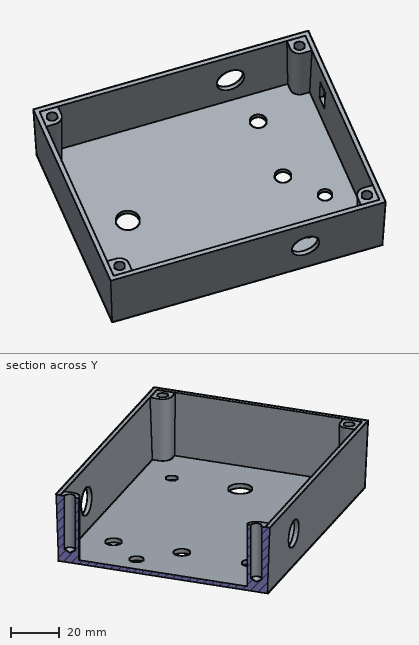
import cadquery as cq
import math

length_x = 94.0
length_y = 120.0
height = 30.0
wall = 2.0
floor_thickness = 2.0
draft_angle = 2.0

post_side = 8.0
post_radius = post_side / 2
post_recess = 0.1
pilot_diameter = 4.5
pilot_depth = 24.0
drill_point_angle = 118.0

column_pitch = 30.0
upper_row_y = 32.0
lower_row_y = -35.6
floor_holes = [
    (-column_pitch, upper_row_y, 7.0),
    (0, upper_row_y, 7.0),
    (column_pitch, upper_row_y, 7.0),
    (column_pitch / 2, 45.0, 6.0),
    (0, lower_row_y, 10.0),
    (column_pitch, lower_row_y, 5.0),
]

side_hole_diameter = 12.0
side_hole_y = 25.2
side_hole_z = height / 2
window_width = 6.0
window_height = 10.0
window_x = -23.0
window_z = 16.8

inner_x = length_x - 2 * wall
inner_y = length_y - 2 * wall
post_pitch_x = inner_x - post_side
post_pitch_y = inner_y - post_side


def drafted_block(size_x, size_y, depth):
    """Block with its full size at the rim, narrowing downward by the draft."""
    rim = cq.Workplane("XY").workplane(offset=height).rect(size_x, size_y)
    return rim.extrude(-depth, taper=draft_angle)


def corner_posts():
    """Upright posts, each rounded on the corner facing the box centre."""
    posts = cq.Workplane("XY")
    inward_edge = cq.selectors.NearestToPointSelector((0, 0, height / 2))
    for side_x in (-1, 1):
        for side_y in (-1, 1):
            post = (
                cq.Workplane("XY")
                .center(side_x * post_pitch_x / 2, side_y * post_pitch_y / 2)
                .rect(post_side, post_side)
                .extrude(height - post_recess)
            )
            posts = posts.add(post.edges("|Z").edges(inward_edge).fillet(post_radius))
    return posts.combine()


def pilot_holes():
    """Blind screw holes with conical ends, on the post axes."""
    radius = pilot_diameter / 2
    point_depth = radius / math.tan(math.radians(drill_point_angle / 2))
    profile = (
        cq.Workplane("XZ")
        .moveTo(0, height)
        .lineTo(radius, height)
        .lineTo(radius, height - pilot_depth)
        .lineTo(0, height - pilot_depth - point_depth)
        .close()
    )
    drill = profile.revolve(360, (0, 0, 0), (0, 1, 0)).val()
    centres = cq.Workplane("XY").rect(post_pitch_x, post_pitch_y, forConstruction=True).vertices()
    return centres.eachpoint(lambda place: drill.moved(place), combine=False)


outer = drafted_block(length_x, length_y, height)
cavity = drafted_block(inner_x, inner_y, height - floor_thickness)
box = outer.cut(cavity).union(corner_posts()).cut(pilot_holes())

for x, y, diameter in floor_holes:
    box = box.cut(cq.Workplane("XY").center(x, y).circle(diameter / 2).extrude(height))

side_holes = (
    cq.Workplane("YZ")
    .center(side_hole_y, side_hole_z)
    .circle(side_hole_diameter / 2)
    .extrude(length_x / 2, both=True)
)

window = cq.Workplane("XY").box(window_width, length_y / 2, window_height, centered=(True, False, True))
window = window.translate((window_x, length_y / 4, window_z))

result = box.cut(side_holes).cut(window)